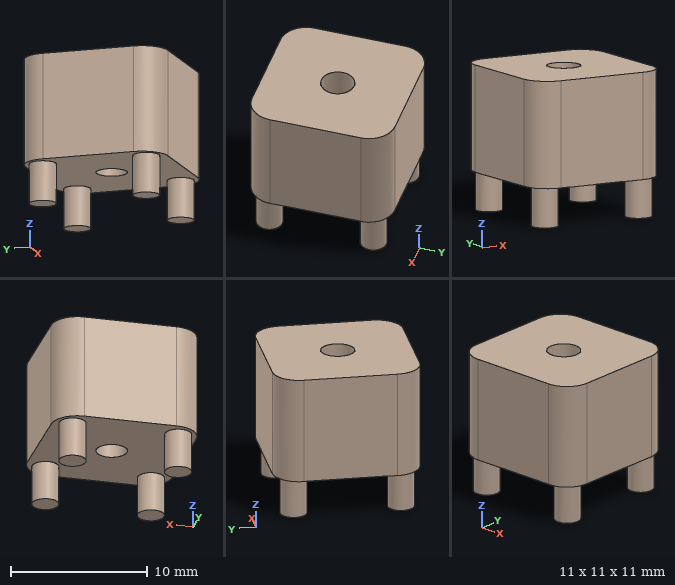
import cadquery as cq

block_side = 11.0
block_height = 8.0
corner_radius = 2.0

pin_diameter = 2.0
pin_length = 3.0
pin_spacing = 8.0

upper_bore_diameter = 2.5
lower_bore_diameter = 2.3
upper_bore_depth = block_height / 2



def make_block():
    block = cq.Workplane("XY").rect(block_side, block_side).extrude(block_height)
    return block.edges("|Z").fillet(corner_radius)


def make_pins():
    """Four pins hanging below the block."""
    return (
        cq.Workplane("XY")
        .rect(pin_spacing, pin_spacing, forConstruction=True)
        .vertices()
        .circle(pin_diameter / 2)
        .extrude(-pin_length)
    )


def cut_stepped_hole(body):
    """Narrow hole through the block, widened from the top."""
    return body.faces(">Z").workplane().cboreHole(
        lower_bore_diameter, upper_bore_diameter, upper_bore_depth
    )


result = cut_stepped_hole(make_block().union(make_pins()))